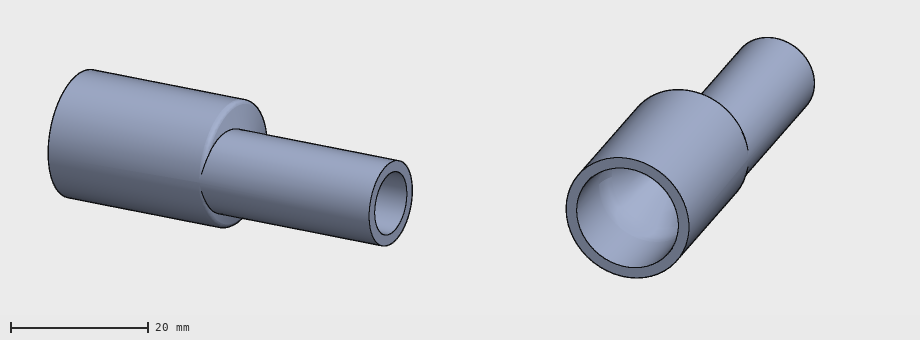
import cadquery as cq
import math

total_length = 54.0
large_outer_diameter = 19.05
large_bore_diameter = 15.75
small_outer_diameter = 12.7
small_bore_diameter = 9.4
small_axis_y = (small_outer_diameter - large_outer_diameter) / 2

shoulder_start_x = 26.05
shoulder_slope_angle = 15.0
shoulder_rim_radius = 0.8

bore_depth = 9.6
funnel_half_angle = 30.0
funnel_mouth_diameter = 14.05


def revolve_about_x(outline):
    """Solid of revolution about the large tube axis from an (x, radius) outline."""
    return outline.close().revolve(360, (0, 0, 0), (1, 0, 0))


def small_cylinder(diameter, start_x):
    """Cylinder on the small tube axis, from start_x to the far end."""
    plane = cq.Workplane("YZ", origin=(start_x, small_axis_y, 0))
    return plane.circle(diameter / 2).extrude(total_length - start_x)


def large_body():
    """Large cylinder closed by the shoulder cone, with its rim rounded."""
    radius = large_outer_diameter / 2
    tip_x = shoulder_start_x + radius * math.tan(math.radians(shoulder_slope_angle))
    points = [(0, 0), (0, radius), (shoulder_start_x, radius), (tip_x, 0)]
    body = revolve_about_x(cq.Workplane("XY").polyline(points))
    rim = cq.selectors.NearestToPointSelector((shoulder_start_x, 0, 0))
    return body.edges("%CIRCLE").edges(rim).fillet(shoulder_rim_radius)


def large_passage():
    """Void of the large bore, its rounded transition and the funnel down to a point."""
    bore_radius = large_bore_diameter / 2
    mouth_radius = funnel_mouth_diameter / 2
    angle = math.radians(funnel_half_angle)
    arc_radius = (bore_radius - mouth_radius) / (1 - math.cos(angle))
    mouth_x = bore_depth + arc_radius * math.sin(angle)
    tip_x = mouth_x + mouth_radius / math.tan(angle)
    outline = (
        cq.Workplane("XY")
        .lineTo(0, bore_radius)
        .lineTo(bore_depth, bore_radius)
        .tangentArcPoint((mouth_x, mouth_radius), relative=False)
        .lineTo(tip_x, 0)
    )
    return revolve_about_x(outline)


outside = large_body().union(small_cylinder(small_outer_diameter, bore_depth))
result = outside.cut(large_passage()).cut(small_cylinder(small_bore_diameter, bore_depth))